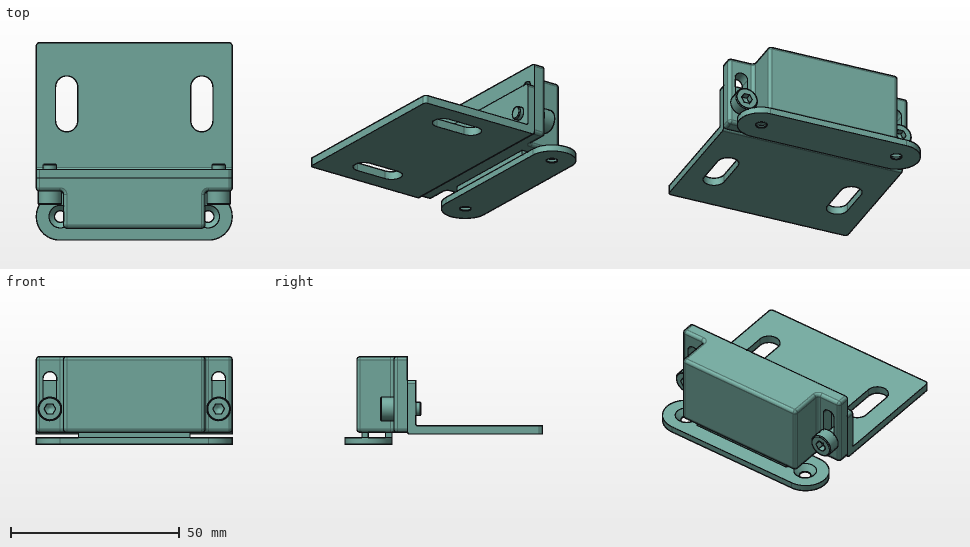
import cadquery as cq
import math

CATCH_WIDTH = 58.1
EDGE_RADIUS = 1.0

STRIKE_WIDTH = 14.0
STRIKE_THICKNESS = 2.0
STRIKE_HOLE_DIAMETER = 3.4
STRIKE_SINK_DIAMETER = 6.7
STRIKE_SINK_ANGLE = 90
STRIKE_FRONT_Y = -18.5
STRIKE_CENTER_Y = STRIKE_FRONT_Y + STRIKE_WIDTH / 2
STRIKE_HOLE_X = 21.9

HOUSING_BOTTOM = 3.5
HOUSING_HEIGHT = 22.45
HOUSING_DEPTH = 15.0
BLOCK_WIDTH = 41.9
WING_THICKNESS = 4.0
WING_SLOT_LENGTH = 13.45
HOUSING_CENTER_Z = HOUSING_BOTTOM + HOUSING_HEIGHT / 2

BRACKET_BOTTOM = 3.0
BRACKET_THICKNESS = 2.5
BRACKET_LENGTH = 40.0
BRACKET_HEIGHT = 15.95
INNER_BEND_RADIUS = 0.45
OUTER_BEND_RADIUS = 0.7
BRACKET_SLOT_X = 20.0
BRACKET_SLOT_Y = 21.9
BRACKET_SLOT_LENGTH = 16.5
BRACKET_SLOT_WIDTH = 6.5

SCREW_X = 25.0
SCREW_Z = 10.5
SHANK_DIAMETER = 4.0
SHANK_LENGTH = 8.0
HEAD_DIAMETER = 7.0
HEAD_LENGTH = 4.0
SCREW_CHAMFER = 0.3
SOCKET_FLATS = 3.0
SOCKET_DEPTH = 2.0
SOCKET_TIP_ANGLE = 120

POLE_LENGTH = 33.05
POLE_THICKNESS = 2.0
POLE_SPACING = 7.0
POLE_CENTER_Y = -9.0

SIDES = (-1, 1)


def make_strike_plate():
    """Plate with round ends and a countersunk hole near the centre of each end."""
    plate = (
        cq.Workplane("XY", origin=(0, STRIKE_CENTER_Y, 0))
        .slot2D(CATCH_WIDTH, STRIKE_WIDTH)
        .extrude(STRIKE_THICKNESS)
    )
    return (
        plate.faces(">Z")
        .workplane(origin=(0, STRIKE_CENTER_Y, STRIKE_THICKNESS))
        .pushPoints([(side * STRIKE_HOLE_X, 0) for side in SIDES])
        .cskHole(STRIKE_HOLE_DIAMETER, STRIKE_SINK_DIAMETER, STRIKE_SINK_ANGLE)
    )


def make_housing():
    """Block with a thin slotted wing on each side, rounded everywhere but at the flat back."""
    wings = (
        cq.Workplane("XY", origin=(0, -WING_THICKNESS / 2, HOUSING_BOTTOM))
        .rect(CATCH_WIDTH, WING_THICKNESS)
        .extrude(HOUSING_HEIGHT)
    )
    block = (
        cq.Workplane("XY", origin=(0, -HOUSING_DEPTH / 2, HOUSING_BOTTOM))
        .rect(BLOCK_WIDTH, HOUSING_DEPTH)
        .extrude(HOUSING_HEIGHT)
    )
    body = wings.union(block)
    body = body.edges("not(#Y and >Y)").fillet(EDGE_RADIUS)
    slots = (
        cq.Workplane("XZ")
        .pushPoints([(side * SCREW_X, HOUSING_CENTER_Z) for side in SIDES])
        .slot2D(WING_SLOT_LENGTH, SHANK_DIAMETER, 90)
        .extrude(WING_THICKNESS)
    )
    head_seats = (
        cq.Workplane("XZ", origin=(0, -WING_THICKNESS, 0))
        .pushPoints([(side * SCREW_X, SCREW_Z) for side in SIDES])
        .circle(HEAD_DIAMETER / 2)
        .extrude(HEAD_LENGTH)
    )
    return body.cut(slots).cut(head_seats)


def make_bracket():
    """L-shaped bracket: slotted foot running back, upright with two screw holes."""
    foot_top = BRACKET_BOTTOM + BRACKET_THICKNESS
    bracket_top = BRACKET_BOTTOM + BRACKET_HEIGHT
    profile = [
        (0, BRACKET_BOTTOM),
        (BRACKET_LENGTH, BRACKET_BOTTOM),
        (BRACKET_LENGTH, foot_top),
        (BRACKET_THICKNESS, foot_top),
        (BRACKET_THICKNESS, bracket_top),
        (0, bracket_top),
    ]
    bracket = cq.Workplane("YZ").polyline(profile).close().extrude(CATCH_WIDTH / 2, both=True)
    inner_bend = cq.selectors.NearestToPointSelector((0, BRACKET_THICKNESS, foot_top))
    outer_bend = cq.selectors.NearestToPointSelector((0, 0, BRACKET_BOTTOM))
    bracket = bracket.edges(inner_bend).fillet(INNER_BEND_RADIUS)
    bracket = bracket.edges(outer_bend).fillet(OUTER_BEND_RADIUS)
    bracket = bracket.faces(">Y").edges("|Z").fillet(EDGE_RADIUS)
    bracket = bracket.faces(">Z").edges("|Y").fillet(EDGE_RADIUS)
    foot_slots = (
        cq.Workplane("XY", origin=(0, 0, BRACKET_BOTTOM))
        .pushPoints([(side * BRACKET_SLOT_X, BRACKET_SLOT_Y) for side in SIDES])
        .slot2D(BRACKET_SLOT_LENGTH, BRACKET_SLOT_WIDTH, 90)
        .extrude(BRACKET_THICKNESS)
    )
    screw_holes = (
        cq.Workplane("XZ")
        .pushPoints([(side * SCREW_X, SCREW_Z) for side in SIDES])
        .circle(SHANK_DIAMETER / 2)
        .extrude(-BRACKET_THICKNESS)
    )
    return bracket.cut(foot_slots).cut(screw_holes)


def make_screw(x):
    """Socket head screw along Y, its head seated on the front of a housing wing."""
    seat = cq.Workplane("XZ", origin=(x, -WING_THICKNESS, SCREW_Z))
    head = seat.circle(HEAD_DIAMETER / 2).extrude(HEAD_LENGTH).faces("<Y").chamfer(SCREW_CHAMFER)
    shank = seat.circle(SHANK_DIAMETER / 2).extrude(-SHANK_LENGTH).faces(">Y").chamfer(SCREW_CHAMFER)

    corner_radius = SOCKET_FLATS / math.sqrt(3)
    tip_depth = corner_radius / math.tan(math.radians(SOCKET_TIP_ANGLE / 2))
    head_front = -WING_THICKNESS - HEAD_LENGTH
    mouth = cq.Workplane("XZ", origin=(x, head_front, SCREW_Z))
    hexagon = mouth.polygon(6, 2 * corner_radius).extrude(-SOCKET_DEPTH - tip_depth)
    bore_profile = [
        (0, 0),
        (corner_radius, 0),
        (corner_radius, SOCKET_DEPTH),
        (0, SOCKET_DEPTH + tip_depth),
    ]
    bore = (
        cq.Workplane("XY", origin=(x, head_front, SCREW_Z))
        .polyline(bore_profile)
        .close()
        .revolve(360, (0, 0), (0, 1))
    )
    return head.union(shank).cut(hexagon.intersect(bore))


def make_pole_strip(y):
    """Flat strip standing on the strike plate and reaching up to the housing."""
    return (
        cq.Workplane("XY", origin=(0, y, STRIKE_THICKNESS))
        .rect(POLE_LENGTH, POLE_THICKNESS)
        .extrude(HOUSING_BOTTOM - STRIKE_THICKNESS)
    )


strike_plate = make_strike_plate()
housing = make_housing()
bracket = make_bracket()
screws = [make_screw(side * SCREW_X).val() for side in SIDES]
pole_strips = [make_pole_strip(POLE_CENTER_Y + side * POLE_SPACING / 2).val() for side in SIDES]

result = cq.Compound.makeCompound(
    [strike_plate.val(), housing.val(), bracket.val(), *screws, *pole_strips]
)